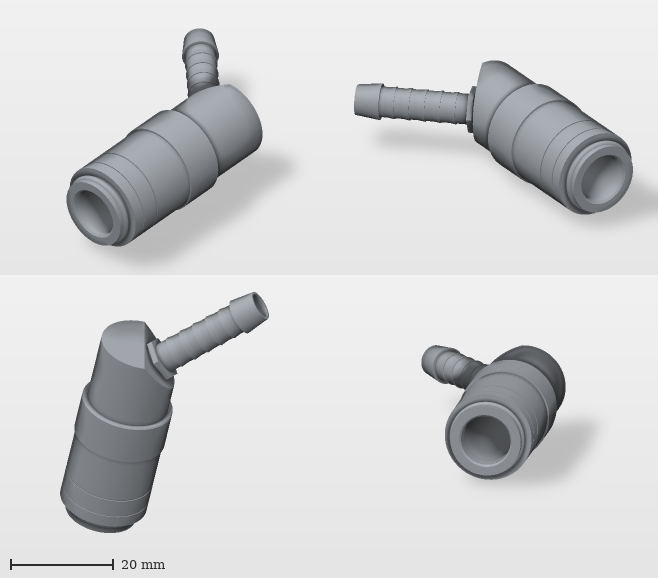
import cadquery as cq
import math

overall_length = 56.45

neck_radius = 7.0
barrel_radius = 8.65
barrel_start = 2.75
collar_radius = 9.005
collar_start = 18.7
collar_end = 26.75
collar_chamfer = 0.2
head_radius = 8.0
head_end = 40.6

ring_center_y = 1.75
ring_tube_radius = 0.7
ring_center_radius = 6.8
groove_depth = 0.15
grooves = [(5.1, 0.2), (8.9, 0.35)]

bore_radius = 4.9
bore_end = collar_end
bore_chamfer = 0.35
passage_radius = 2.95
passage_end = 37.5

tail_angle = 45
tail_seat = 5.4
tail_radius = 3.0
tail_bore_radius = 2.57
tail_end = 29.5
seat_radius = 3.3
hex_start = 5.95
hex_end = 7.0
hex_flats = 7.9
hex_corners = hex_flats / math.cos(math.radians(30))
tip_barb_start = 24.55
tip_barb_radius = 3.6
rib_count = 5
rib_start = 9.5
rib_pitch = 3.05
rib_length = 1.35
rib_radius = 3.19

tail_rad = math.radians(tail_angle)
tail_pivot_y = overall_length - tail_end * math.cos(tail_rad) - tail_radius * math.sin(tail_rad)
tail_plane = cq.Plane(
    origin=(0, tail_pivot_y, 0),
    xDir=(0, 0, 1),
    normal=(-math.sin(tail_rad), math.cos(tail_rad), 0),
)


def body_cylinder(radius, start, end):
    """Cylinder about the Y axis."""
    plane = cq.Plane(origin=(0, start, 0), xDir=(1, 0, 0), normal=(0, 1, 0))
    return cq.Workplane(plane).circle(radius).extrude(end - start)


def tail_section(start):
    """Sketch plane across the tail axis."""
    return cq.Workplane(tail_plane).workplane(offset=start)


def tail_cylinder(radius, start, end):
    return tail_section(start).circle(radius).extrude(end - start)


def tail_cone(start_radius, end_radius, start, end):
    length = end - start
    return tail_section(start).circle(start_radius).workplane(offset=length).circle(end_radius).loft()


def make_body():
    neck = body_cylinder(neck_radius, 0, barrel_start)
    barrel = body_cylinder(barrel_radius, barrel_start, collar_start)
    collar = body_cylinder(collar_radius, collar_start, collar_end).faces(">Y").chamfer(collar_chamfer)
    head = body_cylinder(head_radius, collar_end, head_end)
    waste_size = 2 * head_end
    waste = tail_section(tail_seat).rect(waste_size, waste_size).extrude(waste_size)
    body = neck.union(barrel).union(collar).union(head.cut(waste))

    ring = (
        cq.Workplane("XY")
        .center(ring_center_radius, ring_center_y)
        .circle(ring_tube_radius)
        .revolve(360, (-ring_center_radius, 0), (-ring_center_radius, 1))
    )
    body = body.union(ring)

    for start, width in grooves:
        band = body_cylinder(barrel_radius, start, start + width)
        core = body_cylinder(barrel_radius - groove_depth, start, start + width)
        body = body.cut(band.cut(core))
    return body


def make_tail():
    tail = tail_cylinder(tail_radius, hex_start, tail_end)
    tail = tail.union(tail_cylinder(seat_radius, 0, hex_start))
    hexagon = tail_section(hex_start).transformed(rotate=(0, 0, 90)).polygon(6, hex_corners)
    tail = tail.union(hexagon.extrude(hex_end - hex_start))
    for i in range(rib_count):
        start = rib_start + i * rib_pitch
        tail = tail.union(tail_cone(rib_radius, tail_radius, start, start + rib_length))
    return tail.union(tail_cone(tip_barb_radius, tail_radius, tip_barb_start, tail_end))


def make_bores():
    main_bore = body_cylinder(bore_radius, 0, bore_end)
    mouth_radius = bore_radius + bore_chamfer
    mouth = cq.Workplane("XZ").circle(mouth_radius).workplane(offset=-bore_chamfer).circle(bore_radius).loft()
    passage = body_cylinder(passage_radius, 0, passage_end)
    tail_bore = tail_cylinder(tail_bore_radius, 0, tail_end)
    return main_bore.union(mouth).union(passage).union(tail_bore)


result = make_body().union(make_tail()).cut(make_bores())